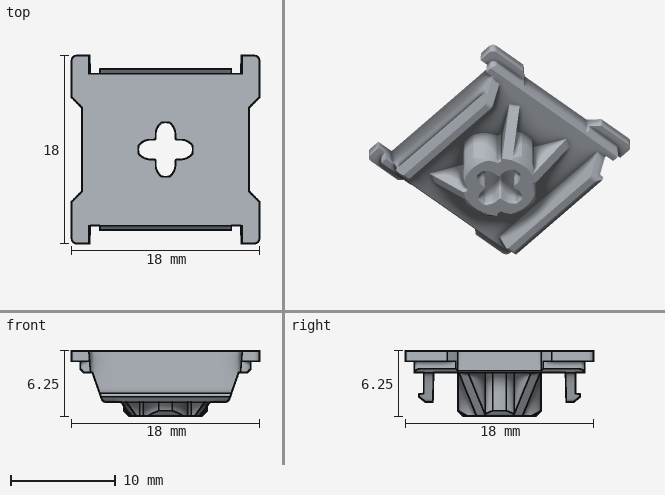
import cadquery as cq
import math


plate_half = 9.0
plate_thickness = 1.0
corner_radius = 0.5
waist_half_x = 8.01
waist_half_y = 4.01

slab_half = 8.17
slab_bottom = -2.09
slab_chamfer = 0.36

notch_floor_y = 7.27
notch_half_top = 7.35
notch_half_bottom = 7.18

clip_bottom = -4.9
clip_inner_y_top = 6.3
clip_inner_y_bottom = 6.37
clip_half_top = 7.0
clip_half_bottom = 6.01
clip_corner_radius = 0.47
lip_outer_y = 7.72
lip_root_z = -4.07
lip_top_z = -4.12
lip_bottom_z = -4.4
clip_foot_y = 7.07
lip_edge_radius = 0.09

socket_bottom = -6.25
socket_radius = 4.0
socket_lobe_half = 2.2
socket_arc_offset = 0.6
socket_chamfer = 0.52
hole_radius = 2.6
hole_lobe_half = 0.94
hole_corner_radius = 0.18
hole_arc_offset = 0.5
lobe_shoulder = 1.44

gusset_thickness = 1.0
gusset_angle = 30.0
gusset_reach_top = 6.91
gusset_reach_bottom = 3.51


def waisted_outline(half):
    """Square outline of the given half size, narrowed at X by 45 degree steps to the waist."""
    waist_end_y = waist_half_y + half - waist_half_x
    right = [
        (half, -half),
        (half, -waist_end_y),
        (waist_half_x, -waist_half_y),
        (waist_half_x, waist_half_y),
        (half, waist_end_y),
        (half, half),
    ]
    left = [(-x, -y) for x, y in right]
    return cq.Workplane("XY").polyline(right + left).close()


def rounded_layer(half, depth):
    """Waisted layer from Z = 0 down to the given depth, with its outer corners rounded."""
    layer = waisted_outline(half).extrude(-depth)
    for sx in (-1, 1):
        for sy in (-1, 1):
            corner = cq.selectors.NearestToPointSelector((sx * half, sy * half, -depth / 2))
            layer = layer.edges(corner).fillet(corner_radius)
    return layer


def base():
    """Plate and slab, the slab bevelled along its two X sides."""
    depth = -slab_bottom
    bevel_start = slab_bottom + slab_chamfer
    bevel_half = slab_half - slab_chamfer
    bevelled = (
        cq.Workplane("XZ")
        .moveTo(-slab_half, 0)
        .lineTo(slab_half, 0)
        .lineTo(slab_half, bevel_start)
        .lineTo(bevel_half, slab_bottom)
        .lineTo(-bevel_half, slab_bottom)
        .lineTo(-slab_half, bevel_start)
        .close()
        .extrude(slab_half, both=True)
    )
    slab = rounded_layer(slab_half, depth).intersect(bevelled)
    return rounded_layer(plate_half, plate_thickness).union(slab)


def notch():
    """Notch cutter on the -Y side."""
    return (
        cq.Workplane("XZ", origin=(0, -notch_floor_y, 0))
        .moveTo(-notch_half_top, 0)
        .lineTo(notch_half_top, 0)
        .lineTo(notch_half_bottom, slab_bottom)
        .lineTo(-notch_half_bottom, slab_bottom)
        .close()
        .extrude(plate_half - notch_floor_y)
    )


def clip():
    """Snap clip on the -Y side: a hooked section trimmed to a tapering front outline."""
    section = (
        cq.Workplane("YZ")
        .moveTo(-clip_inner_y_top, slab_bottom)
        .lineTo(-notch_floor_y, slab_bottom)
        .lineTo(-notch_floor_y, lip_root_z)
        .lineTo(-lip_outer_y, lip_top_z)
        .lineTo(-lip_outer_y, lip_bottom_z)
        .lineTo(-clip_foot_y, clip_bottom)
        .lineTo(-clip_inner_y_bottom, clip_bottom)
        .close()
        .extrude(clip_half_top, both=True)
        .edges(cq.selectors.NearestToPointSelector((0, -lip_outer_y, lip_top_z)))
        .fillet(lip_edge_radius)
    )
    outline = (
        cq.Workplane("XZ")
        .moveTo(-clip_half_top, slab_bottom)
        .lineTo(clip_half_top, slab_bottom)
        .lineTo(clip_half_bottom, clip_bottom)
        .lineTo(-clip_half_bottom, clip_bottom)
        .close()
        .extrude(plate_half)
        .faces("<Z")
        .edges("|Y")
        .fillet(clip_corner_radius)
    )
    return section.intersect(outline)


def lobe_pair(lobe_half, arc_offset):
    """Bar along Y, as deep as the whole part, whose ends taper as pointed arches.

    Each arch side is centred beyond the bar's middle line by the arc offset.
    """
    arc_radius = lobe_half + arc_offset
    tip_y = lobe_shoulder + math.sqrt(arc_radius**2 - arc_offset**2)
    middle = math.atan2(tip_y - lobe_shoulder, arc_offset) / 2
    arc_x = arc_radius * math.cos(middle) - arc_offset
    arc_y = lobe_shoulder + arc_radius * math.sin(middle)
    return (
        cq.Workplane("XY")
        .moveTo(lobe_half, -lobe_shoulder)
        .lineTo(lobe_half, lobe_shoulder)
        .threePointArc((arc_x, arc_y), (0, tip_y))
        .threePointArc((-arc_x, arc_y), (-lobe_half, lobe_shoulder))
        .lineTo(-lobe_half, -lobe_shoulder)
        .threePointArc((-arc_x, -arc_y), (0, -tip_y))
        .threePointArc((arc_x, -arc_y), (lobe_half, -lobe_shoulder))
        .close()
        .extrude(socket_bottom)
    )


def four_lobes(lobe_half, arc_offset):
    """Two crossed lobe pairs."""
    pair = lobe_pair(lobe_half, arc_offset)
    return pair.union(pair.rotate((0, 0, 0), (0, 0, 1), 90))


def socket():
    """Outer body of the socket, its lobe tips rounded and bevelled by a turned cylinder."""
    envelope = cq.Workplane("XY").circle(socket_radius).extrude(socket_bottom)
    envelope = envelope.faces("<Z").chamfer(socket_chamfer)
    return four_lobes(socket_lobe_half, socket_arc_offset).intersect(envelope)


def socket_hole():
    """Through hole with the same lobed shape and eased inner corners."""
    envelope = cq.Workplane("XY").circle(hole_radius).extrude(socket_bottom)
    hole = four_lobes(hole_lobe_half, hole_arc_offset).intersect(envelope)
    for sx in (-1, 1):
        for sy in (-1, 1):
            corner_point = (sx * hole_lobe_half, sy * hole_lobe_half, socket_bottom / 2)
            corner = cq.selectors.NearestToPointSelector(corner_point)
            hole = hole.edges(corner).fillet(hole_corner_radius)
    return hole


def gusset(angle):
    """Radial gusset from the socket axis outwards, at the given angle from +X."""
    return (
        cq.Workplane("XZ")
        .moveTo(0, slab_bottom)
        .lineTo(gusset_reach_top, slab_bottom)
        .lineTo(gusset_reach_bottom, socket_bottom)
        .lineTo(0, socket_bottom)
        .close()
        .extrude(gusset_thickness / 2, both=True)
        .rotate((0, 0, 0), (0, 0, 1), angle)
    )


result = base()
for turn in (0, 180):
    result = result.cut(notch().rotate((0, 0, 0), (0, 0, 1), turn))
    result = result.union(clip().rotate((0, 0, 0), (0, 0, 1), turn))
    for angle in (turn - gusset_angle, turn + gusset_angle):
        result = result.union(gusset(angle))
result = result.union(socket()).cut(socket_hole())